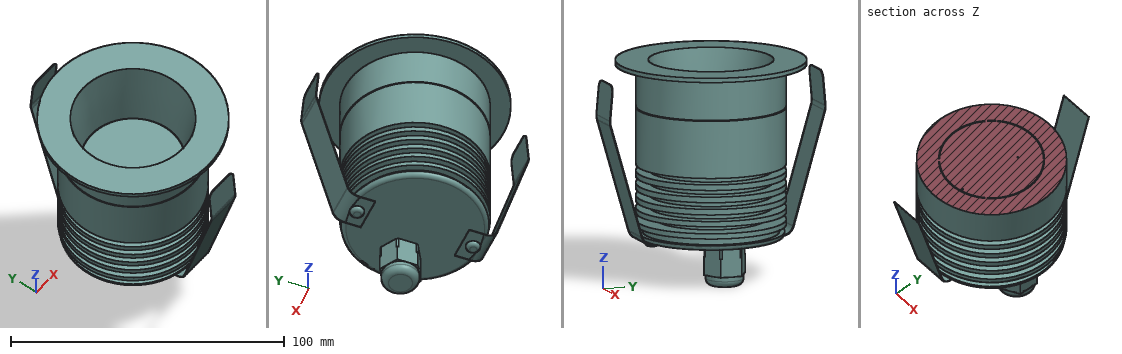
import cadquery as cq
import math


flange_diameter = 70.0
flange_thickness = 1.6
body_diameter = 55.0
body_bottom = -38.8
seam_diameter = 54.8
seam_height = 0.3
seam_z = -17.4

upper_fin_count = 3
lower_fin_count = 2
fin_count = upper_fin_count + lower_fin_count
upper_fin_thickness = 2.1
lower_fin_thickness = 1.9
fin_pitch = 4.55
first_fin_top = -41.2
neck_diameter = 45.0
lower_neck_diameter = 40.0

collar_diameter = 50.0
cover_diameter = 54.0
cover_top = -63.95
cover_thickness = 1.9
cover_edge_radius = 1.7
cover_bottom = cover_top - cover_thickness

reflector_mouth_diameter = 45.8
reflector_floor_diameter = 38.5
reflector_depth = 24.9
reflector_bulge = 0.3
lens_diameter = 38.2
lens_height = 0.25

clip_width = 14.0
clip_thickness = 0.3
clip_span = 84.4
clip_top = -5.7
clip_corner_radius = 2.8
clip_foot_start = 18.6
leg_lean = math.radians(16.2)
tip_lean = math.radians(5.0)
knee_radius = 5.1
knee_z = -19.15
ankle_radius = 4.55

screw_diameter = 5.5
screw_offset = 22.95
screw_head_bottom = -67.7
screw_edge_radius = 1.4

gland_x = 14.0
nut_across_flats = 14.0
nut_corner_diameter = nut_across_flats / math.cos(math.pi / 6)
nut_bottom = -77.1
nut_relief_diameter = 15.6
nut_relief_bottom = -70.2
relief_clearance = 0.85
gland_cap_diameter = 14.0
gland_cap_edge_radius = 2.6
part_height = 81.2


def disc(diameter, top, bottom):
    """Solid cylinder on the Z axis between two levels."""
    return cq.Workplane("XY").workplane(offset=bottom).circle(diameter / 2).extrude(top - bottom)


def housing():
    """Flange, barrel with its shallow seam, finned heat sink and rear cover."""
    seam_top = seam_z + seam_height / 2
    seam_bottom = seam_z - seam_height / 2
    shape = disc(flange_diameter, 0, -flange_thickness)
    shape = shape.union(disc(body_diameter, -flange_thickness, seam_top))
    shape = shape.union(disc(seam_diameter, seam_top, seam_bottom))
    shape = shape.union(disc(body_diameter, seam_bottom, body_bottom))

    gap_top = body_bottom
    for index in range(fin_count):
        fin_top = first_fin_top - index * fin_pitch
        is_last = index == fin_count - 1
        fin_thickness = upper_fin_thickness if index < upper_fin_count else lower_fin_thickness
        gap_diameter = lower_neck_diameter if is_last else neck_diameter
        shape = shape.union(disc(gap_diameter, gap_top, fin_top))
        shape = shape.union(disc(body_diameter, fin_top, fin_top - fin_thickness))
        gap_top = fin_top - fin_thickness

    cover = disc(cover_diameter, cover_top, cover_bottom).faces("<Z").edges().fillet(cover_edge_radius)
    return shape.union(disc(collar_diameter, gap_top, cover_top)).union(cover)


def reflector_cavity():
    """Horn-shaped cavity whose wall curves slightly toward the axis."""
    mouth_radius = reflector_mouth_diameter / 2
    floor_radius = reflector_floor_diameter / 2
    middle = ((mouth_radius + floor_radius) / 2 - reflector_bulge, -reflector_depth / 2)
    profile = (
        cq.Workplane("XZ")
        .lineTo(mouth_radius, 0)
        .threePointArc(middle, (floor_radius, -reflector_depth))
        .lineTo(0, -reflector_depth)
        .close()
    )
    return profile.revolve(360, (0, 0), (0, 1))


def on_arc(center, radius, angle):
    """Point on an arc, with the angle measured from +Y toward +Z."""
    return (center[0] + radius * math.cos(angle), center[1] + radius * math.sin(angle))


def spring_clip():
    """Bent strip on the +Y side: foot, ankle bend, leaning leg, knee bend and tip."""
    foot_z = cover_bottom - clip_thickness / 2
    knee_center = ((clip_span - clip_thickness) / 2 - knee_radius, knee_z)
    knee_start = on_arc(knee_center, knee_radius, -leg_lean)
    knee_middle = on_arc(knee_center, knee_radius, 0)
    knee_end = on_arc(knee_center, knee_radius, tip_lean)
    tip = (knee_end[0] - (clip_top - knee_end[1]) * math.tan(tip_lean), clip_top)

    ankle_center_z = foot_z + ankle_radius
    ankle_end_z = ankle_center_z - ankle_radius * math.sin(leg_lean)
    ankle_end_y = knee_start[0] - (knee_start[1] - ankle_end_z) * math.tan(leg_lean)
    ankle_center = (ankle_end_y - ankle_radius * math.cos(leg_lean), ankle_center_z)
    ankle_middle = on_arc(ankle_center, ankle_radius, -(math.pi / 2 + leg_lean) / 2)

    path = (
        cq.Workplane("YZ")
        .moveTo(clip_foot_start, foot_z)
        .lineTo(ankle_center[0], foot_z)
        .threePointArc(ankle_middle, (ankle_end_y, ankle_end_z))
        .lineTo(*knee_start)
        .threePointArc(knee_middle, knee_end)
        .lineTo(*tip)
    )
    section = cq.Workplane("XZ", origin=(0, clip_foot_start, foot_z)).rect(clip_width, clip_thickness)
    return section.sweep(path).faces(">Z").edges("not |X").fillet(clip_corner_radius)


def clip_screw():
    """Domed screw head that holds the foot of the +Y clip."""
    head = disc(screw_diameter, cover_bottom, screw_head_bottom)
    head = head.faces("<Z").edges().fillet(screw_edge_radius)
    return head.translate((0, screw_offset, 0))


def cable_gland():
    """Hexagonal nut, with corners turned down near the cover, and a rounded cap."""
    nut = (
        cq.Workplane("XY")
        .workplane(offset=nut_bottom)
        .polygon(6, nut_corner_diameter)
        .extrude(cover_bottom - nut_bottom)
        .rotate((0, 0, 0), (0, 0, 1), 30)
    )
    relief = disc(nut_corner_diameter + relief_clearance, cover_bottom, nut_relief_bottom)
    relief = relief.cut(disc(nut_relief_diameter, cover_bottom, nut_relief_bottom))
    cap = disc(gland_cap_diameter, nut_bottom, -part_height)
    cap = cap.faces("<Z").edges().fillet(gland_cap_edge_radius)
    return nut.cut(relief).union(cap).translate((gland_x, 0, 0))


lens = disc(lens_diameter, lens_height - reflector_depth, -reflector_depth)
result = housing().cut(reflector_cavity()).union(lens)
clip_with_screw = spring_clip().union(clip_screw())
for turn in (0, 180):
    result = result.union(clip_with_screw.rotate((0, 0, 0), (0, 0, 1), turn))
result = result.union(cable_gland())